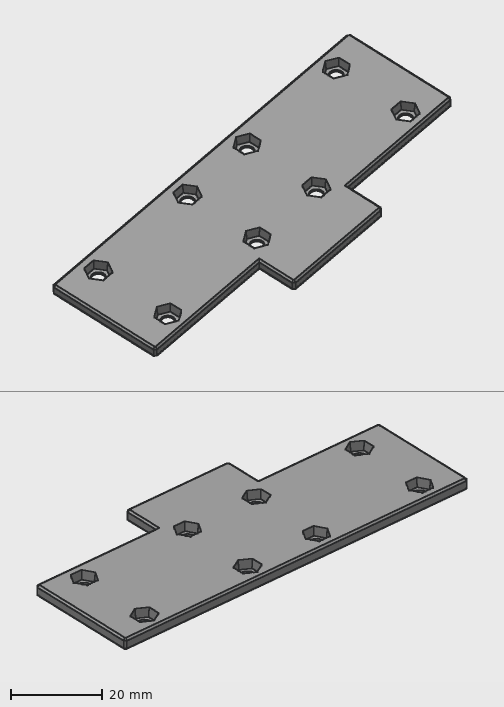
import cadquery as cq

GRID = 10.0
CLEARANCE = 0.1
THICKNESS = 3.0
STRIP_WIDTH = 3 * GRID - 2 * CLEARANCE
STRIP_LENGTH = 10 * GRID - 2 * CLEARANCE
TAB_REACH = GRID
TAB_BOTTOM = 3.5 * GRID + CLEARANCE
TAB_TOP = 6.5 * GRID - CLEARANCE
EDGE_CHAMFER = 0.5

HOLE_DIAMETER = 3.4
NUT_ACROSS_CORNERS = 6.35
NUT_FLOOR_ACROSS_CORNERS = 5.8
NUT_POCKET_DEPTH = 2.4
LEFT_COLUMN_X = 0.5 * GRID
RIGHT_COLUMN_X = 2.5 * GRID
NUT_POSITIONS = [
    (LEFT_COLUMN_X, 1 * GRID, 30),
    (LEFT_COLUMN_X, 4 * GRID, 30),
    (LEFT_COLUMN_X, 6 * GRID, 0),
    (LEFT_COLUMN_X, 9 * GRID, 0),
    (RIGHT_COLUMN_X, 1 * GRID, 0),
    (RIGHT_COLUMN_X, 4 * GRID, 0),
    (RIGHT_COLUMN_X, 6 * GRID, 30),
    (RIGHT_COLUMN_X, 9 * GRID, 30),
]


def make_plate():
    """Strip and tab as one plate with its outer corners and rims chamfered."""
    strip = (
        cq.Workplane("XY", origin=(CLEARANCE, CLEARANCE, 0))
        .box(STRIP_WIDTH, STRIP_LENGTH, THICKNESS, centered=False)
        .edges("|Z")
        .chamfer(EDGE_CHAMFER)
    )
    tab_right = CLEARANCE + STRIP_WIDTH + TAB_REACH
    tab = (
        cq.Workplane("XY", origin=(LEFT_COLUMN_X, TAB_BOTTOM, 0))
        .box(tab_right - LEFT_COLUMN_X, TAB_TOP - TAB_BOTTOM, THICKNESS, centered=False)
        .edges("|Z and >X")
        .chamfer(EDGE_CHAMFER)
    )
    plate = strip.union(tab, clean=True)
    return plate.faces("<Z or >Z").edges().chamfer(EDGE_CHAMFER)


def make_nut_hole(x, y, rotation):
    """Cutter for one through hole and its tapered nut pocket."""
    hole = cq.Workplane("XY").circle(HOLE_DIAMETER / 2).extrude(THICKNESS)
    pocket = (
        cq.Workplane("XY", origin=(0, 0, THICKNESS - NUT_POCKET_DEPTH))
        .polygon(6, NUT_FLOOR_ACROSS_CORNERS)
        .workplane(offset=NUT_POCKET_DEPTH)
        .polygon(6, NUT_ACROSS_CORNERS)
        .loft(ruled=True)
        .rotate((0, 0, 0), (0, 0, 1), rotation)
    )
    return hole.union(pocket).translate((x, y, 0))


result = make_plate()
for hole_x, hole_y, nut_rotation in NUT_POSITIONS:
    result = result.cut(make_nut_hole(hole_x, hole_y, nut_rotation))